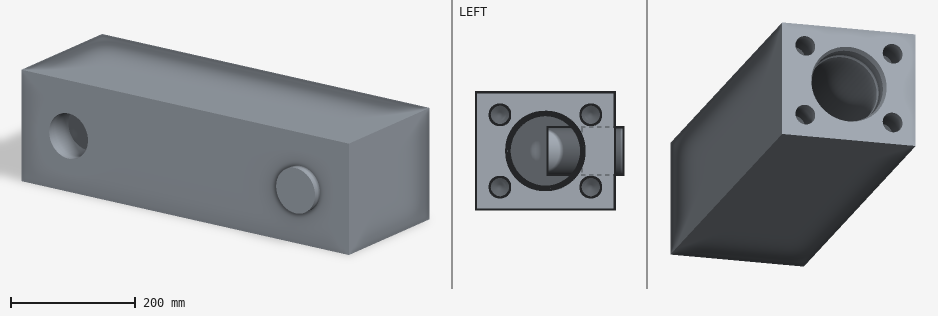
import cadquery as cq

block_length = 645.62
block_width = 223.0
block_height = 188.45
front_face_y = -block_width / 2

mouth_diameter = 126.0
counterbore_diameter = 119.0
bore_diameter = 115.0
mouth_depth = 10.0
shoulder_start = 33.0
shoulder_end = 38.0
end_wall = 45.62
bore_depth = block_length - end_wall

bolt_hole_diameter = 33.02
bolt_hole_depth = 60.0
drill_point_depth = 10.0
bolt_spacing_y = 145.8
bolt_spacing_z = 116.0

pin_diameter = 76.5
side_hole_x = 93.0
side_wall_left = 1.0
side_hole_depth = (block_width - bore_diameter) / 2 - side_wall_left

pin_x = 550.5
pin_protrusion = 14.0
pin_length = 122.0


def revolve_about_x(profile):
    """Solid of revolution about the X axis from (x, radius) points."""
    return cq.Workplane("XY").polyline(profile).close().revolve(360, (0, 0, 0), (1, 0, 0))


def cross_cylinder(x, y_start, cylinder_length):
    """Pin-sized cylinder at mid-height, running in +Y from y_start."""
    plane = cq.Plane(origin=(x, y_start, 0), xDir=(1, 0, 0), normal=(0, 1, 0))
    return cq.Workplane(plane).circle(pin_diameter / 2).extrude(cylinder_length)


def make_bore():
    counterbore_radius = counterbore_diameter / 2
    bore_radius = bore_diameter / 2
    return revolve_about_x([
        (0, 0),
        (0, mouth_diameter / 2),
        (mouth_depth, counterbore_radius),
        (shoulder_start, counterbore_radius),
        (shoulder_end, bore_radius),
        (bore_depth, bore_radius),
        (bore_depth, 0),
    ])


def make_bolt_hole():
    radius = bolt_hole_diameter / 2
    return revolve_about_x([
        (0, 0),
        (0, radius),
        (bolt_hole_depth, radius),
        (bolt_hole_depth + drill_point_depth, 0),
    ])


def make_pin():
    return cross_cylinder(pin_x, front_face_y - pin_protrusion, pin_length)


def make_block():
    block = cq.Workplane("XY").box(
        block_length, block_width, block_height, centered=(False, True, True)
    )
    block = block.cut(make_bore())
    for y in (-bolt_spacing_y / 2, bolt_spacing_y / 2):
        for z in (-bolt_spacing_z / 2, bolt_spacing_z / 2):
            block = block.cut(make_bolt_hole().translate((0, y, z)))
    block = block.cut(cross_cylinder(side_hole_x, front_face_y, side_hole_depth))
    return block.cut(make_pin())


block = make_block()
pin = make_pin()
result = cq.Compound.makeCompound([block.val(), pin.val()])